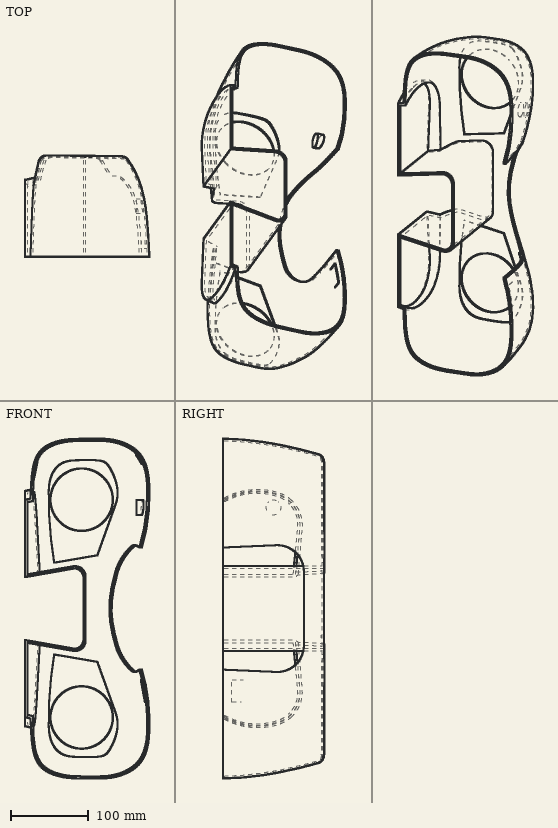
import cadquery as cq
import math

height = 437.28
depth = 130.57
width = 160.1
wall = 3.0
margin = 20.0
half_height = height / 2
top_crest = 1.5

outer_rounding = 11.5
inner_rounding = 7.0
rear_left = 30.0
rear_tilt = 0.6
rounding_angles = [math.radians(a) for a in (20, 35, 50, 70, 90)]
rounding_height = 1 - math.sin(rounding_angles[0])
crown_depth = depth - outer_rounding * rounding_height
side_flare = 0.25
side_power = 4.0
top_power = 1.75
wall_levels = (0.0, 0.3, 0.55, 0.75, 0.9, 1.0)

half_outline = (
    ((128.0, 0.0), (100.0, 0.0)),
    ((150.0, 78.0), (115.0, 78.0)),
    ((width, 146.0), (133.5, 150.0)),
    ((147.5, 199.0), (125.5, 185.0)),
    ((113.0, half_height - top_crest), (98.0, 198.0)),
    ((82.0, half_height), (80.0, 198.5)),
    ((51.0, half_height - top_crest), (60.0, 198.0)),
    ((20.5, 203.3), (30.0, 186.0)),
    ((7.8, 160.0), (19.0, 155.0)),
    ((10.0, 35.0), (24.5, 35.0)),
)

notch_mouth = 40.4
notch_floor = 75.0
notch_angle = 10.0
notch_radius = 11.0

pad_draft = 12.0
pad_reach = 30.0
pad_foot = (93.0, 42.0)
pad_side = (99.0, 104.0)
pad_shoulder = (71.0, 147.0)
pad_front = (0.0, 139.7)

window_rim_z = 78.5
window_deep_z = 83.0
window_depth = 104.0
window_radius = 34.0

port_x = 72.8
port_z = 140.0
port_radius = 40.0

recess_depth = 1.0
recess_inner = (37.5, 59.0)
recess_outer = (93.0, 68.5)
recess_right = (116.5, 134.0)
recess_corner = ((119.0, 152.0), (107.0, 184.0))
recess_top = (77.0, 191.0)
recess_bend = (46.0, 186.0)
recess_left = (30.5, 150.0)
recess_flank = (32.0, 105.0)

peg_y = 65.0
peg_z = 130.0
peg_radius = 9.5
peg_tip = 143.5

strip_start_y = 11.0
strip_end_y = 32.0
strip_top_z = -92.0
strip_top_x = 149.0
strip_end_z = -120.0
strip_end_x = 154.2


def between(pair, share):
    """Point of the section at a share of the way from rim to crown."""
    (rim_x, rim_z), (crown_x, crown_z) = pair
    side_share = side_flare * share + (1 - side_flare) * share**side_power
    top_share = share**top_power
    return (rim_x + side_share * (crown_x - rim_x), rim_z + top_share * (crown_z - rim_z))


def moved_in(points, inset, first_way, last_way):
    """Points of an anticlockwise chain moved to its inner side, given its end directions."""
    moved = []
    for i, (x, z) in enumerate(points):
        if i == 0:
            way = first_way
        elif i == len(points) - 1:
            way = last_way
        else:
            way = (points[i + 1][0] - points[i - 1][0], points[i + 1][1] - points[i - 1][1])
        length = math.hypot(*way)
        moved.append((x - inset * way[1] / length, z + inset * way[0] / length))
    return moved


def pod_section(y, share, inset, tilt=0.0):
    """Closed outline of the pod, mirrored about Z = 0, leaning by tilt degrees about Z."""
    lean = math.tan(math.radians(tilt))

    def at(point, sign):
        return cq.Vector(point[0], y - lean * (point[0] - rear_left), sign * point[1])

    def way(x, z):
        return cq.Vector(x, -lean * x, z).normalized()

    half = [between(pair, share) for pair in half_outline]
    drop = (half[-1][0] - half[-2][0], half[-1][1] - half[-2][1])
    half = moved_in(half, inset, (0, 1), drop)
    loop = [at(p, -1) for p in reversed(half[1:])] + [at(p, 1) for p in half]
    return cq.Wire.assembleEdges([
        cq.Edge.makeSpline(loop, [way(-drop[0], drop[1]), way(*drop)], scale=False),
        cq.Edge.makeLine(loop[-1], loop[0]),
    ])


def pod_body(inset, rounding):
    """Solid pod whose walls and rear face lie an inset inside the outer surface."""
    crown = depth - inset - rounding * rounding_height
    crown_share = crown / crown_depth
    walls = [pod_section(level * crown, level * crown_share, inset) for level in wall_levels]
    rear = []
    for angle in rounding_angles:
        rise = rounding * (math.sin(angle) - math.sin(rounding_angles[0]))
        step_in = rounding * (math.cos(rounding_angles[0]) - math.cos(angle))
        tilt = rear_tilt * rise / (rounding * rounding_height)
        rear.append(pod_section(crown + rise, crown_share, inset + step_in, tilt))
    return cq.Workplane(cq.Solid.makeLoft(walls)).union(cq.Workplane(cq.Solid.makeLoft(rear)))


def notch_tool(inset):
    """Wedge-shaped notch in the left side, grown by an inset, through the full depth."""
    slope = math.tan(math.radians(notch_angle))
    grown_mouth = notch_mouth + inset / math.cos(math.radians(notch_angle))
    floor = notch_floor + inset
    mouth_z = grown_mouth - slope * margin
    floor_z = grown_mouth + slope * floor
    return (
        cq.Workplane("XZ", origin=(0, -margin, 0))
        .polyline([(-margin, -mouth_z), (floor, -floor_z), (floor, floor_z), (-margin, mouth_z)])
        .close()
        .extrude(-(depth + 2 * margin))
        .edges("|Y and >X")
        .fillet(notch_radius + inset)
    )


def pad_body(inset):
    """Drafted pad on the upper left side, its sides and flat face moved in by an inset."""
    pad = (
        cq.Workplane("YZ")
        .moveTo(pad_front[0] - margin, 0)
        .lineTo(pad_foot[0], 0)
        .lineTo(*pad_foot)
        .lineTo(*pad_side)
        .tangentArcPoint(pad_shoulder, relative=False)
        .tangentArcPoint(pad_front, relative=False)
        .lineTo(pad_front[0] - margin, pad_front[1])
        .close()
    )
    if inset:
        pad = pad.offset2D(-inset)
    pad = pad.extrude(pad_reach, taper=-pad_draft).translate((inset, 0, 0))
    in_front = cq.Workplane("XY").box(2 * width, 2 * margin, height).translate((0, -margin, 0))
    return pad.cut(in_front)


def mirrored(body):
    """A body together with its mirror image about Z = 0."""
    return body.union(body.mirror("XY"))


def full_body(inset, rounding):
    """Pod with both pads and the notch, every surface an inset inside the outer one."""
    return pod_body(inset, rounding).union(mirrored(pad_body(inset))).cut(notch_tool(inset))


def window_tool():
    """Cutout in the right-hand wall, open at the rim."""
    slope = (window_deep_z - window_rim_z) / window_depth
    open_z = window_rim_z - slope * margin
    return (
        cq.Workplane("YZ", origin=(notch_floor + 2 * wall, 0, 0))
        .polyline([(-margin, -open_z), (window_depth, -window_deep_z),
                   (window_depth, window_deep_z), (-margin, open_z)])
        .close()
        .extrude(width)
        .edges("|X and >Y")
        .fillet(window_radius)
    )


def port_tool():
    """Round opening through the upper rear face."""
    return (
        cq.Workplane("XZ", origin=(port_x, crown_depth - margin, port_z))
        .circle(port_radius)
        .extrude(-2 * margin)
    )


def recess_tool():
    """Shallow recess around the upper opening, sunk into the inside of the rear face."""
    start_y = crown_depth - margin
    floor_y = depth - wall + recess_depth
    rise = (recess_right[0] - recess_outer[0], recess_right[1] - recess_outer[1])
    leftward = (-1.0, 0.0)
    downward = (0.0, -1.0)
    return (
        cq.Workplane("XZ", origin=(0, start_y, 0))
        .moveTo(*recess_inner)
        .lineTo(*recess_outer)
        .lineTo(*recess_right)
        .spline([*recess_corner, recess_top], tangents=[rise, leftward], includeCurrent=True)
        .spline([recess_bend, recess_left], tangents=[leftward, downward], includeCurrent=True)
        .threePointArc(recess_flank, recess_inner)
        .close()
        .extrude(start_y - floor_y)
    )


def peg():
    """Round peg running from its free end into the upper right wall."""
    return (
        cq.Workplane("YZ", origin=(peg_tip, peg_y, peg_z))
        .circle(peg_radius)
        .extrude(width - peg_tip)
    )


def strip():
    """Strip in the lower pod whose flat inner face is a chord of the curved wall."""
    return (
        cq.Workplane("XZ", origin=(0, strip_start_y, 0))
        .polyline([(strip_top_x, strip_top_z), (strip_end_x, strip_end_z),
                   (width, strip_end_z), (width, strip_top_z)])
        .close()
        .extrude(strip_start_y - strip_end_y)
    )


outer = full_body(0.0, outer_rounding)
cavity = full_body(wall, inner_rounding).union(mirrored(recess_tool()))
details = outer.intersect(peg().union(strip()))
result = outer.cut(cavity).union(details)
result = result.cut(window_tool()).cut(mirrored(port_tool()))